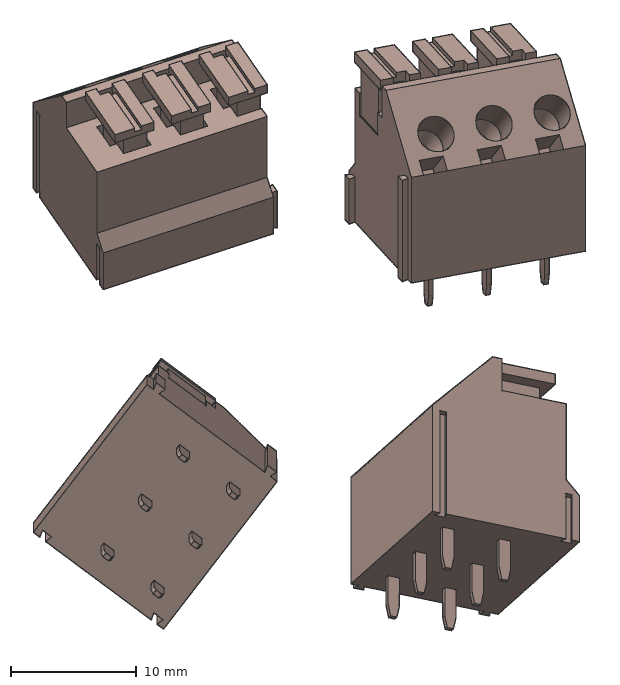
import cadquery as cq
import math


POLE_COUNT = 3
POLE_PITCH = 5.0
POLE_STARTS = [index * POLE_PITCH for index in range(POLE_COUNT)]

HOUSING_DEPTH = 13.0
HOUSING_WIDTH = POLE_COUNT * POLE_PITCH
HOUSING_HEIGHT = 14.7
FRONT_WALL_HEIGHT = 9.4
SLOPE_RUN = HOUSING_HEIGHT - FRONT_WALL_HEIGHT
SHELF_WALL_X = 6.15
SHELF_HEIGHT = 11.9
SHELF_END_X = 11.83
FOOT_TOP_Z = 5.2
FOOT_HEIGHT = FOOT_TOP_Z - (HOUSING_DEPTH - SHELF_END_X)

DOVETAIL_DEPTH = 0.58
DOVETAIL_NECK = 0.55
DOVETAIL_TIP = 0.9
FRONT_DOVETAIL = (0.95, 9.0)
REAR_DOVETAIL = (12.06, 4.0)

ENTRY_DIAMETER = 3.0
ENTRY_END_DIAMETER = 1.5
ENTRY_DEPTH = 3.25
FUNNEL_LENGTH = 1.3
ENTRY_X = 2.25
ENTRY_Y = 1.96

SLOT_END_X = 0.9
SLOT_START_Y = 1.9
SLOT_WIDTH = 2.05
SLOT_DEPTH = 3.0

PLATE_START_X = 6.22
PLATE_LENGTH = 5.44
PLATE_START_Y = 1.67
PLATE_END_Y = 5.1
PLATE_TOP_Z = 15.2
PLATE_THICKNESS = 0.9
PLATE_GROOVE_START_Y = 3.4
PLATE_GROOVE_END_Y = 4.0
PLATE_GROOVE_DEPTH = 0.38
NOTCH_LENGTH = 0.78
NOTCH_START_Y = 2.61
STEM_START_X = 7.08
STEM_END_X = 10.8
STEM_START_Y = 2.85
STEM_END_Y = 4.9
OPENING_DEPTH = 2.0
OPENING_END_Y = 5.25
OPENING_STEP_END_X = 9.53
OPENING_STEP_Y = 2.25

PIN_LENGTH = 3.5
PIN_WIDTH = 1.0
PIN_TIP_WIDTH = 0.55
PIN_TAPER_LENGTH = 1.0
PIN_THICKNESS = 0.4
PIN_Y = 2.5
PIN_ROWS_X = [2.5, 7.5]


def box(x_start, x_end, y_start, y_end, z_start, z_end):
    """Box between two opposite corners."""
    size = (x_end - x_start, y_end - y_start, z_end - z_start)
    return cq.Workplane("XY").box(*size, centered=False).translate((x_start, y_start, z_start))


def extrude_along_y(points, y_start, y_end):
    """Solid with the given XZ outline between two Y positions."""
    plane = cq.Workplane("XZ", origin=(0, y_start, 0))
    return plane.polyline(points).close().extrude(y_start - y_end)


def slope_plane(x, y):
    """Work plane on the sloped face; local X runs along +Y and its normal points out."""
    origin = (x, y, FRONT_WALL_HEIGHT + x)
    return cq.Workplane(cq.Plane(origin=origin, xDir=(0, 1, 0), normal=(-1, 0, 1)))


def make_housing_block():
    outline = [
        (0, 0),
        (0, FRONT_WALL_HEIGHT),
        (SLOPE_RUN, HOUSING_HEIGHT),
        (SHELF_WALL_X, HOUSING_HEIGHT),
        (SHELF_WALL_X, SHELF_HEIGHT),
        (SHELF_END_X, SHELF_HEIGHT),
        (SHELF_END_X, FOOT_TOP_Z),
        (HOUSING_DEPTH, FOOT_HEIGHT),
        (HOUSING_DEPTH, 0),
    ]
    return extrude_along_y(outline, 0, HOUSING_WIDTH)


def make_dovetail(center_x, height, y_neck):
    """Upright dovetail that widens toward +Y from its neck."""
    outline = [
        (center_x - DOVETAIL_NECK / 2, y_neck),
        (center_x + DOVETAIL_NECK / 2, y_neck),
        (center_x + DOVETAIL_TIP / 2, y_neck + DOVETAIL_DEPTH),
        (center_x - DOVETAIL_TIP / 2, y_neck + DOVETAIL_DEPTH),
    ]
    return cq.Workplane("XY").polyline(outline).close().extrude(height)


def make_wire_entry(pole_y):
    mouth = slope_plane(ENTRY_X, pole_y + ENTRY_Y)
    bore = mouth.circle(ENTRY_DIAMETER / 2).extrude(-ENTRY_DEPTH)
    funnel = (
        mouth.workplane(offset=-ENTRY_DEPTH)
        .circle(ENTRY_DIAMETER / 2)
        .workplane(offset=-FUNNEL_LENGTH)
        .circle(ENTRY_END_DIAMETER / 2)
        .loft(ruled=True)
    )
    return bore.union(funnel)


def make_test_slot(pole_y):
    center_x = SLOT_END_X / 2
    center_y = pole_y + SLOT_START_Y + SLOT_WIDTH / 2
    length_on_slope = SLOT_END_X * math.sqrt(2)
    return slope_plane(center_x, center_y).rect(SLOT_WIDTH, length_on_slope).extrude(-SLOT_DEPTH)


def make_lever_opening(pole_y):
    """Opening as long as the stem, with a step toward -Y over part of its length."""
    y_start = pole_y + STEM_START_Y
    y_end = pole_y + OPENING_END_Y
    y_step = pole_y + OPENING_STEP_Y
    floor_z = SHELF_HEIGHT - OPENING_DEPTH
    main = box(STEM_START_X, STEM_END_X, y_start, y_end, floor_z, SHELF_HEIGHT)
    step = box(STEM_START_X, OPENING_STEP_END_X, y_step, y_end, floor_z, SHELF_HEIGHT)
    return main.union(step)


def make_lever(pole_y):
    """Grooved push plate with a corner notch, on a stem standing on the opening's floor."""
    plate_end_x = PLATE_START_X + PLATE_LENGTH
    plate_bottom_z = PLATE_TOP_Z - PLATE_THICKNESS
    groove_floor_z = PLATE_TOP_Z - PLATE_GROOVE_DEPTH
    groove_end_y = pole_y + PLATE_GROOVE_END_Y
    plate = box(
        PLATE_START_X, plate_end_x, pole_y + PLATE_START_Y, pole_y + PLATE_END_Y, plate_bottom_z, PLATE_TOP_Z
    )
    groove = box(
        PLATE_START_X, plate_end_x, pole_y + PLATE_GROOVE_START_Y, groove_end_y, groove_floor_z, PLATE_TOP_Z
    )
    notch = box(
        PLATE_START_X, PLATE_START_X + NOTCH_LENGTH, pole_y + NOTCH_START_Y, groove_end_y,
        plate_bottom_z, PLATE_TOP_Z,
    )
    stem = box(
        STEM_START_X, STEM_END_X, pole_y + STEM_START_Y, pole_y + STEM_END_Y,
        SHELF_HEIGHT - OPENING_DEPTH, plate_bottom_z,
    )
    return plate.cut(groove).cut(notch).union(stem)


def make_pin(center_x, pole_y):
    """Flat pin below the housing with a tapered tip."""
    taper_z = PIN_TAPER_LENGTH - PIN_LENGTH
    outline = [
        (center_x - PIN_WIDTH / 2, 0),
        (center_x + PIN_WIDTH / 2, 0),
        (center_x + PIN_WIDTH / 2, taper_z),
        (center_x + PIN_TIP_WIDTH / 2, -PIN_LENGTH),
        (center_x - PIN_TIP_WIDTH / 2, -PIN_LENGTH),
        (center_x - PIN_WIDTH / 2, taper_z),
    ]
    y_start = pole_y + PIN_Y - PIN_THICKNESS / 2
    return extrude_along_y(outline, y_start, y_start + PIN_THICKNESS)


def make_terminal_block():
    block = make_housing_block()
    for center_x, height in (FRONT_DOVETAIL, REAR_DOVETAIL):
        block = block.cut(make_dovetail(center_x, height, 0))
        block = block.union(make_dovetail(center_x, height, HOUSING_WIDTH))
    for pole_y in POLE_STARTS:
        block = block.cut(make_wire_entry(pole_y))
        block = block.cut(make_test_slot(pole_y))
        block = block.cut(make_lever_opening(pole_y))
        block = block.union(make_lever(pole_y))
        for pin_x in PIN_ROWS_X:
            block = block.union(make_pin(pin_x, pole_y))
    return block


result = make_terminal_block()